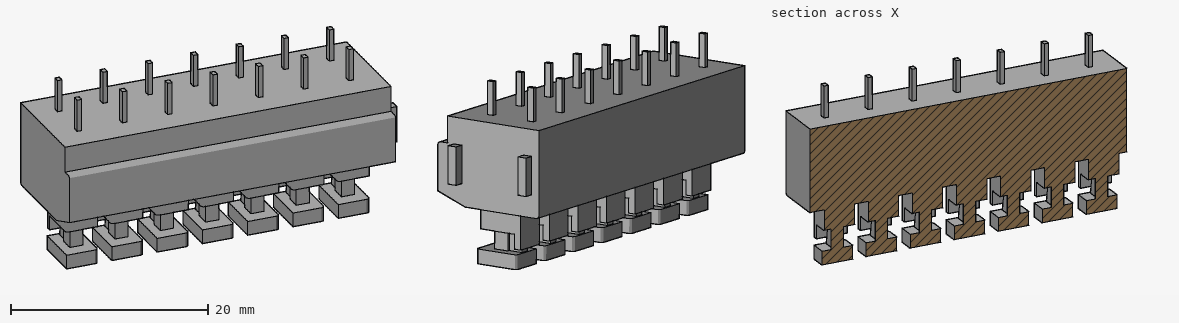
import cadquery as cq

BODY_LENGTH = 36.0
BODY_WIDTH = 12.6
BODY_HEIGHT = 9.2
EDGE_RADIUS = 0.35

STEP_X = 11.4
STEP_DEPTH = 2.8
SLOPE_START_X = 9.2
SLOPE_HEIGHT = 1.25

POSITION_COUNT = 7
PITCH = 5.0
FIRST_POSITION_Y = 2.85

PIN_X = 0.7
PIN_Y = 0.5
PIN_LENGTH = 3.5
PIN_ROW_COUNT = 2
FIRST_PIN_X = 3.12
PIN_ROW_SPACING = 5.0

TAB_X = 1.0
TAB_LENGTH = 1.0
TAB_HEIGHT = 4.0
TAB_TOP_DEPTH = 2.8
TAB_COUNT = 2
FIRST_TAB_X = 0.9
TAB_SPACING = 8.7

GUIDE_START_X = 2.9
GUIDE_X = 5.0
GUIDE_Y = 3.5
GUIDE_HEIGHT = 2.25
GUIDE_OFFSET_Y = 0.52
LIP_THICKNESS = 0.8
LIP_HEIGHT = 3.8

BUTTON_OFFSET_Y = 0.28
CAP_START_X = 3.6
CAP_X = 5.0
CAP_Y = 3.5
CAP_HEIGHT = 1.55
BUTTON_DROP = 6.0
STEM_START_X = 5.4
STEM_END_X = 7.05
STEM_Y = 1.45
RIB_Y = 0.95
RIB_TOP_X = 4.25
RIB_BOTTOM_X = 3.8

CAP_TOP_DROP = BUTTON_DROP - CAP_HEIGHT


def box(x, y, z, size_x, size_y, size_z):
    """Box with its minimum corner at x, y, z."""
    return cq.Workplane("XY").box(size_x, size_y, size_z, centered=False).translate((x, y, z))


def extrude_along_y(points, start_y, length):
    """Prism with an XZ outline, running from start_y toward +Y."""
    prism = cq.Workplane("XZ").polyline(points).close().extrude(-length)
    return prism.translate((0, start_y, 0))


def make_body():
    step_z = BODY_HEIGHT - STEP_DEPTH
    outline = [
        (0, 0),
        (SLOPE_START_X, 0),
        (BODY_WIDTH, SLOPE_HEIGHT),
        (BODY_WIDTH, step_z),
        (STEP_X, step_z),
        (STEP_X, BODY_HEIGHT),
        (0, BODY_HEIGHT),
    ]
    body = extrude_along_y(outline, 0, BODY_LENGTH)
    lower_edge = cq.selectors.NearestToPointSelector((0, BODY_LENGTH / 2, 0))
    step_edge = cq.selectors.NearestToPointSelector((BODY_WIDTH, BODY_LENGTH / 2, step_z))
    return body.edges(lower_edge).fillet(EDGE_RADIUS).edges(step_edge).fillet(EDGE_RADIUS)


def make_tab(x):
    z = BODY_HEIGHT - TAB_TOP_DEPTH - TAB_HEIGHT
    return box(x, BODY_LENGTH, z, TAB_X, TAB_LENGTH, TAB_HEIGHT)


def make_pin(x, y):
    return box(x - PIN_X / 2, y - PIN_Y / 2, BODY_HEIGHT, PIN_X, PIN_Y, PIN_LENGTH)


def make_guide(y):
    start_y = y + GUIDE_OFFSET_Y - GUIDE_Y / 2
    end_x = GUIDE_START_X + GUIDE_X
    lip_x = GUIDE_START_X + LIP_THICKNESS
    outline = [
        (GUIDE_START_X, 0),
        (end_x, 0),
        (end_x, -GUIDE_HEIGHT),
        (lip_x, -GUIDE_HEIGHT),
        (lip_x, -LIP_HEIGHT),
        (GUIDE_START_X, -LIP_HEIGHT),
    ]
    guide = extrude_along_y(outline, start_y, GUIDE_Y)
    for x in (GUIDE_START_X, end_x):
        corner = cq.selectors.NearestToPointSelector((x, start_y, -GUIDE_HEIGHT / 2))
        guide = guide.edges("|Z").edges(corner).fillet(EDGE_RADIUS)
    return guide


def make_button(y):
    center_y = y + BUTTON_OFFSET_Y
    cap = box(CAP_START_X, center_y - CAP_Y / 2, -BUTTON_DROP, CAP_X, CAP_Y, CAP_HEIGHT)
    cap = cap.faces(">Y").edges("|Z").fillet(EDGE_RADIUS)
    stem = box(
        STEM_START_X, center_y - STEM_Y / 2, -CAP_TOP_DROP,
        STEM_END_X - STEM_START_X, STEM_Y, CAP_TOP_DROP - GUIDE_HEIGHT,
    )
    rib_outline = [
        (RIB_BOTTOM_X, -CAP_TOP_DROP),
        (STEM_START_X, -CAP_TOP_DROP),
        (STEM_START_X, -GUIDE_HEIGHT),
        (RIB_TOP_X, -GUIDE_HEIGHT),
    ]
    rib = extrude_along_y(rib_outline, center_y - RIB_Y / 2, RIB_Y)
    return cap.union(stem).union(rib)


result = make_body()
for tab in range(TAB_COUNT):
    result = result.union(make_tab(FIRST_TAB_X + tab * TAB_SPACING))
for position in range(POSITION_COUNT):
    position_y = FIRST_POSITION_Y + position * PITCH
    for row in range(PIN_ROW_COUNT):
        result = result.union(make_pin(FIRST_PIN_X + row * PIN_ROW_SPACING, position_y))
    result = result.union(make_guide(position_y))
    result = result.union(make_button(position_y))